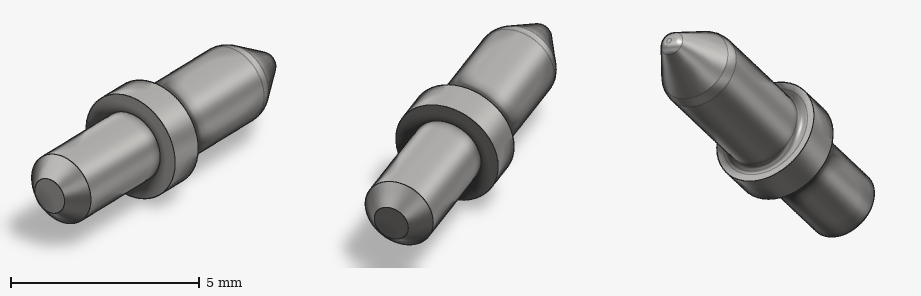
import cadquery as cq
import math

TOTAL_LENGTH = 9.5

TAIL_LENGTH = 3.5
TAIL_RADIUS = 1.0
TAIL_CHAMFER = TAIL_RADIUS / 2

COLLAR_RADIUS = 1.5
COLLAR_THICKNESS = 1.0

BARREL_RADIUS = 1.1
NOSE_HALF_ANGLE = math.radians(30)
TIP_RADIUS = 0.25
TIP_FILLET = 0.3
SHOULDER_FILLET = 0.6
ROOT_FILLET = 0.2

TIP_Y = TOTAL_LENGTH - TAIL_LENGTH
SHOULDER_Y = TIP_Y - (BARREL_RADIUS - TIP_RADIUS) / math.tan(NOSE_HALF_ANGLE)


def nearest_on_axis(y):
    """Select the edge or face centred nearest to position y on the axis."""
    return cq.selectors.NearestToPointSelector((0, y, 0))


def make_guide_pin():
    """Collar, barrel and rounded conical nose, turned as one solid."""
    profile = [
        (0, 0),
        (COLLAR_RADIUS, 0),
        (COLLAR_RADIUS, COLLAR_THICKNESS),
        (BARREL_RADIUS, COLLAR_THICKNESS),
        (BARREL_RADIUS, SHOULDER_Y),
        (TIP_RADIUS, TIP_Y),
        (0, TIP_Y),
    ]
    pin = cq.Workplane("XY").polyline(profile).close().revolve(360, (0, 0), (0, 1))
    pin = pin.edges("%CIRCLE").edges(nearest_on_axis(TIP_Y)).fillet(TIP_FILLET)
    pin = pin.edges("%CIRCLE").edges(nearest_on_axis(SHOULDER_Y)).fillet(SHOULDER_FILLET)
    root_edge = cq.selectors.RadiusNthSelector(0)
    collar_front = pin.faces("%PLANE").faces(nearest_on_axis(COLLAR_THICKNESS))
    return collar_front.edges("%CIRCLE").edges(root_edge).fillet(ROOT_FILLET)


def make_tail():
    """Chamfered cylinder standing on the rear face of the collar."""
    tail = cq.Workplane("XZ").circle(TAIL_RADIUS).extrude(TAIL_LENGTH)
    return tail.faces("<Y").chamfer(TAIL_CHAMFER)


guide_pin = make_guide_pin()
tail = make_tail()

result = cq.Compound.makeCompound([guide_pin.val(), tail.val()])